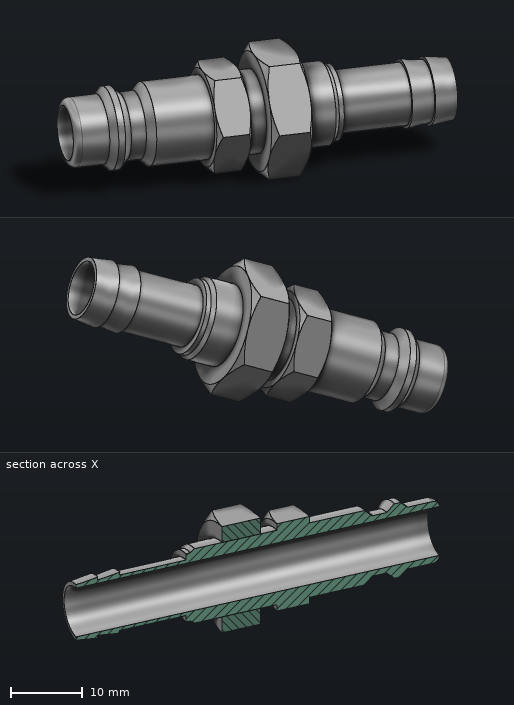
import cadquery as cq
import math

length = 56.0
tip_y = -length / 2
tail_y = length / 2

bore_radius = 3.85
nose_radius = 1.0
tip_radius = 5.0
groove_radius = 4.9
body_radius = 6.0
collar_radius = 5.5
hose_radius = 4.5
barb_radius = 4.9

tip_length = 5.0
ring_land = 1.0
ring_front_slope = body_radius - tip_radius
groove_slope = 1.2
groove_floor = 2.2
collar_length = 0.7
collar_chamfer = 0.6
hose_length = 16.9
barbed_length = 6.8
barb_count = 2
barb_pitch = barbed_length / barb_count

grip_flats = 14.0
grip_width = 5.1
grip_front_y = -8.0
nut_flats = 17.0
nut_width = 6.0
nut_front_y = -0.45
hex_chamfer_angle = 30.0

ring_front_y = tip_y + tip_length + ring_front_slope
ring_back_y = ring_front_y + ring_land
groove_front_y = ring_back_y + groove_slope
groove_back_y = groove_front_y + groove_floor
shank_front_y = groove_back_y + groove_slope
collar_back_y = tail_y - hose_length
collar_front_y = collar_back_y - collar_length
shank_back_y = collar_front_y - collar_chamfer


def revolve_about_y(profile):
    """Spin a closed XY profile (x is the radius) around the Y axis."""
    return profile.revolve(360, (0, 0, 0), (0, 1, 0))


def chamfered_hex(flats, width, front_y):
    """Hexagonal prism along Y whose corners are turned to a cone at both ends."""
    corner_radius = flats / math.sqrt(3)
    face_radius = flats / 2
    drop = (corner_radius - face_radius) * math.tan(math.radians(hex_chamfer_angle))
    back_y = front_y + width
    prism = (
        cq.Workplane("XZ", origin=(0, front_y, 0))
        .polygon(6, 2 * corner_radius)
        .extrude(-width)
    )
    turned_blank = revolve_about_y(
        cq.Workplane("XY").polyline([
            (0, front_y),
            (face_radius, front_y),
            (corner_radius, front_y + drop),
            (corner_radius, back_y - drop),
            (face_radius, back_y),
            (0, back_y),
        ]).close()
    )
    return prism.intersect(turned_blank)


def make_turned_body():
    """Hollow body with a rounded tip, locking groove, threaded shank and barbed hose tail."""
    nose_center_radius = tip_radius - nose_radius
    nose_offset = nose_radius * math.sqrt(0.5)
    nose_center_y = tip_y + nose_radius
    profile = (
        cq.Workplane("XY")
        .moveTo(bore_radius, tip_y)
        .lineTo(nose_center_radius, tip_y)
        .threePointArc(
            (nose_center_radius + nose_offset, nose_center_y - nose_offset),
            (tip_radius, nose_center_y),
        )
        .lineTo(tip_radius, tip_y + tip_length)
        .lineTo(body_radius, ring_front_y)
        .lineTo(body_radius, ring_back_y)
        .lineTo(groove_radius, groove_front_y)
        .lineTo(groove_radius, groove_back_y)
        .lineTo(body_radius, shank_front_y)
        .lineTo(body_radius, shank_back_y)
        .lineTo(collar_radius, collar_front_y)
        .lineTo(collar_radius, collar_back_y)
        .lineTo(hose_radius, collar_back_y)
        .lineTo(hose_radius, tail_y - barbed_length)
    )
    for barb in range(barb_count, 0, -1):
        crest_y = tail_y - barb * barb_pitch
        profile = (
            profile.lineTo(barb_radius, crest_y)
            .lineTo(hose_radius, crest_y + barb_pitch)
        )
    return revolve_about_y(profile.lineTo(bore_radius, tail_y).close())


def make_plug():
    """Turned body with its fixed wrench hexagon; the bore stays open."""
    grip = chamfered_hex(grip_flats, grip_width, grip_front_y)
    grip_hole = (
        cq.Workplane("XZ", origin=(0, grip_front_y, 0))
        .circle(bore_radius)
        .extrude(-grip_width)
    )
    return make_turned_body().union(grip.cut(grip_hole))


def make_nut():
    """Lock nut whose plain hole fits the shank."""
    shank_hole = (
        cq.Workplane("XZ", origin=(0, nut_front_y, 0))
        .circle(body_radius)
        .extrude(-nut_width)
    )
    return chamfered_hex(nut_flats, nut_width, nut_front_y).cut(shank_hole)


plug = make_plug()
nut = make_nut()

result = cq.Compound.makeCompound([plug.solids().val(), nut.solids().val()])